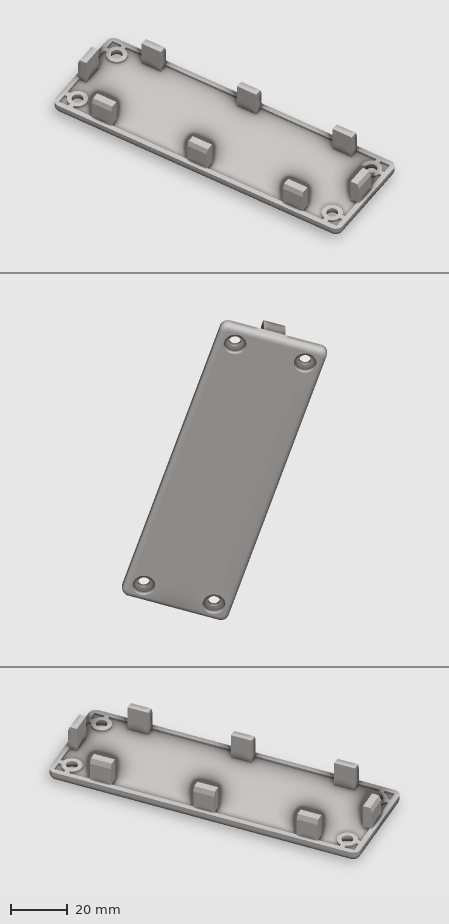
import cadquery as cq

length = 120.0
width = 39.5
total_height = 13.0
plate_height = 4.0
corner_radius = 2.9
bottom_fillet = 2.2

rim = 1.9
recess_depth = 1.0
recess_floor = plate_height - recess_depth

hole_inset = 6.7
hole_diameter = 4.2
counterbore_diameter = 8.0
counterbore_depth = 1.9
boss_diameter = 7.5
rib_width = 1.8

clip_width = 8.0
clip_thickness = 3.5
clip_chamfer_run = 0.7
clip_chamfer_drop = 1.9
side_clip_inset = 1.5
end_clip_inset = 1.2
side_clip_pitch = 40.0


def make_plate():
    return (
        cq.Workplane("XY")
        .box(length, width, plate_height, centered=(True, True, False))
        .edges("|Z")
        .fillet(corner_radius)
        .faces("<Z")
        .edges()
        .fillet(bottom_fillet)
    )


def make_recess():
    return (
        cq.Workplane("XY")
        .workplane(offset=recess_floor)
        .rect(length - 2 * rim, width - 2 * rim)
        .extrude(recess_depth)
    )


def make_corner_boss(x_side, y_side):
    """Boss with one rib to the end rim and one to the side rim, level with the rim."""
    x = x_side * (length / 2 - hole_inset)
    y = y_side * (width / 2 - hole_inset)
    rib_length = hole_inset - rim
    floor = cq.Workplane("XY").workplane(offset=recess_floor)
    boss = floor.center(x, y).circle(boss_diameter / 2).extrude(recess_depth)
    end_rib = floor.center(x + x_side * rib_length / 2, y).rect(rib_length, rib_width).extrude(recess_depth)
    side_rib = floor.center(x, y + y_side * rib_length / 2).rect(rib_width, rib_length).extrude(recess_depth)
    return boss.union(end_rib).union(side_rib)


def make_clip(outer_distance):
    """Clip on the +X side, its outer face at the given distance from the centre."""
    inner_distance = outer_distance - clip_thickness
    return (
        cq.Workplane("XZ")
        .moveTo(inner_distance, recess_floor)
        .lineTo(outer_distance, recess_floor)
        .lineTo(outer_distance, total_height - clip_chamfer_drop)
        .lineTo(outer_distance - clip_chamfer_run, total_height)
        .lineTo(inner_distance, total_height)
        .close()
        .extrude(clip_width / 2, both=True)
    )


recess = make_recess()
for x_side in (-1, 1):
    for y_side in (-1, 1):
        recess = recess.cut(make_corner_boss(x_side, y_side))
result = make_plate().cut(recess)

side_clip = make_clip(width / 2 - side_clip_inset)
end_clip = make_clip(length / 2 - end_clip_inset)
for turn in (0, 180):
    result = result.union(end_clip.rotate((0, 0, 0), (0, 0, 1), turn))
    for position in (-side_clip_pitch, 0, side_clip_pitch):
        clip = side_clip.rotate((0, 0, 0), (0, 0, 1), turn + 90)
        result = result.union(clip.translate((position, 0, 0)))

hole_centres = (
    cq.Workplane("XY")
    .rect(length - 2 * hole_inset, width - 2 * hole_inset, forConstruction=True)
    .vertices()
)
through_holes = hole_centres.circle(hole_diameter / 2).extrude(plate_height)
counterbores = hole_centres.circle(counterbore_diameter / 2).extrude(counterbore_depth)
result = result.cut(through_holes).cut(counterbores)